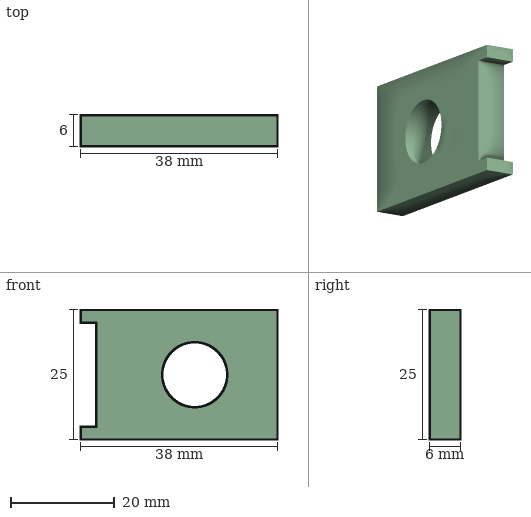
import cadquery as cq

length = 38.0
thickness = 6.0
height = 25.0

lug_length = 3.0
lug_height = 2.5
notch_height = height - 2 * lug_height

hole_diameter = 12.5
hole_from_lug_end = 22.0


def make_plate():
    """Rectangular plate with one corner at the origin."""
    return cq.Workplane("XY").box(length, thickness, height, centered=False)


def make_notch():
    """Block removed from between the two lugs."""
    return (
        cq.Workplane("XY")
        .box(lug_length, thickness, notch_height, centered=False)
        .translate((0, 0, lug_height))
    )


def make_hole():
    """Cylinder along Y through the full thickness."""
    return (
        cq.Workplane("XZ")
        .center(hole_from_lug_end, height / 2)
        .circle(hole_diameter / 2)
        .extrude(-thickness)
    )


result = make_plate().cut(make_notch()).cut(make_hole())